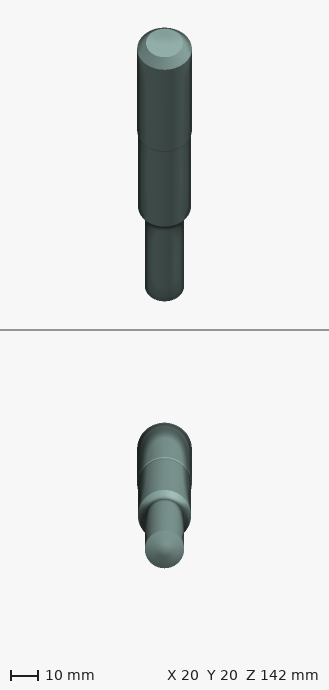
import cadquery as cq

total_length = 142.0
head_diameter = 20.0
shank_diameter = 19.5
pin_diameter = 14.3
top_flat_diameter = 13.5

head_length = 50.5
head_runout = 0.5
shoulder_depth = 93.7
shoulder_height = 3.0
pin_tip_height = 2.3

head_radius = head_diameter / 2
shank_radius = shank_diameter / 2
pin_radius = pin_diameter / 2
top_flat_radius = top_flat_diameter / 2

chamfer_base_z = total_length - (head_radius - top_flat_radius)
head_bottom_z = total_length - head_length
shoulder_top_z = total_length - shoulder_depth
shoulder_bottom_z = shoulder_top_z - shoulder_height


def revolve_profile(points):
    """Revolve a closed (radius, height) outline around the Z axis."""
    return cq.Workplane("XZ").polyline(points).close().revolve(360, (0, 0, 0), (0, 1, 0))


def make_stud():
    """Chamfered head, slightly thinner shank and a shoulder tapering to the pin."""
    return revolve_profile([
        (0, shoulder_bottom_z),
        (pin_radius, shoulder_bottom_z),
        (shank_radius, shoulder_top_z),
        (shank_radius, head_bottom_z),
        (head_radius, head_bottom_z + head_runout),
        (head_radius, chamfer_base_z),
        (top_flat_radius, total_length),
        (0, total_length),
    ])


def make_pin():
    """Plain pin with a shallow conical point, seated flat against the stud."""
    return revolve_profile([
        (0, 0),
        (pin_radius, pin_tip_height),
        (pin_radius, shoulder_bottom_z),
        (0, shoulder_bottom_z),
    ])


stud = make_stud()
pin = make_pin()
result = cq.Compound.makeCompound([stud.val(), pin.val()])